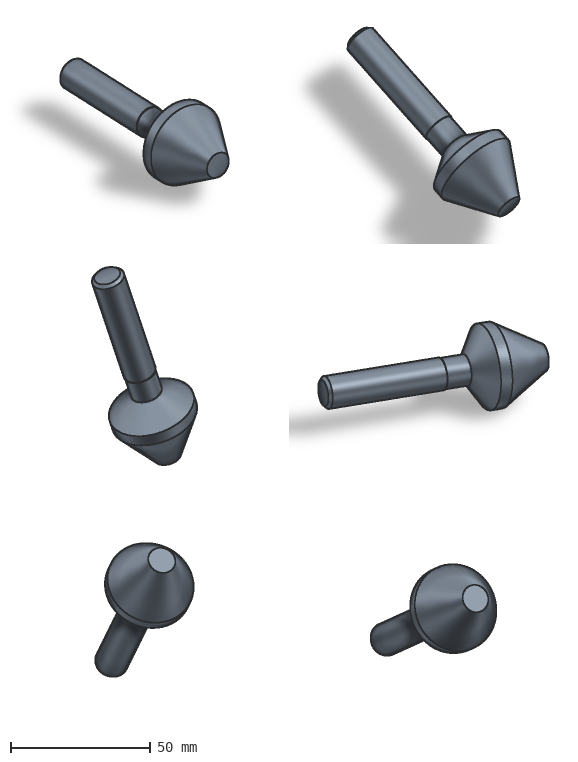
import cadquery as cq
import math

total_length = 86.0
head_diameter = 31.7
shank_diameter = 12.0
neck_diameter = 11.5
chamfer_size = 1.2

shank_end = 46.0
neck_end = 55.5
rim_start = 62.7
rim_end = 67.2

cone_half_angle = math.radians(30)

head_radius = head_diameter / 2
shank_radius = shank_diameter / 2
neck_radius = neck_diameter / 2
tip_radius = head_radius - (total_length - rim_end) * math.tan(cone_half_angle)

half_profile = [
    (0, 0),
    (0, shank_radius - chamfer_size),
    (chamfer_size, shank_radius),
    (shank_end, shank_radius),
    (shank_end, neck_radius),
    (neck_end, neck_radius),
    (rim_start, head_radius),
    (rim_end, head_radius),
    (total_length, tip_radius),
    (total_length, 0),
]

result = (
    cq.Workplane("XY")
    .polyline(half_profile)
    .close()
    .revolve(360, (0, 0, 0), (1, 0, 0))
)